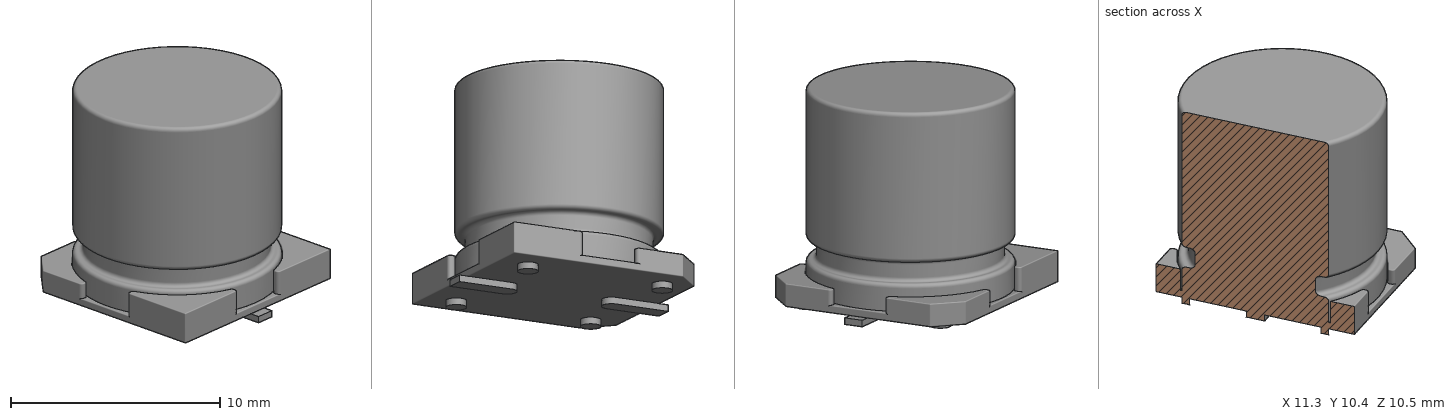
import cadquery as cq

terminal_span = 11.3
base_side = 10.4
total_height = 10.5

can_diameter = 10.0
neck_diameter = 9.0
can_round = 0.2
neck_bottom = 2.25
neck_top = 2.89

base_bottom = 0.33
slab_top = 0.7
low_lug_top = 1.46
high_lug_top = 1.88
corner_chamfer = 1.25
notch_half_width = 1.46
lug_pocket_radius = 5.05
lug_end_round = 0.17
edge_round = 0.05

terminal_width = 0.96
terminal_inner_reach = 2.35
foot_diameter = 1.0
foot_offset = 3.64

half_side = base_side / 2
can_radius = can_diameter / 2
neck_radius = neck_diameter / 2


def make_can():
    """Turned can with a rounded rim and a rolled neck, revolved about Z."""
    shoulder_radius = can_radius - can_round
    throat_radius = neck_radius + can_round
    lower_shoulder = neck_bottom - can_round
    upper_shoulder = neck_top + can_round
    profile = (
        cq.Workplane("XZ")
        .moveTo(0, slab_top)
        .lineTo(can_radius, slab_top)
        .lineTo(can_radius, lower_shoulder - can_round)
        .radiusArc((shoulder_radius, lower_shoulder), -can_round)
        .lineTo(throat_radius, lower_shoulder)
        .radiusArc((neck_radius, neck_bottom), can_round)
        .lineTo(neck_radius, neck_top)
        .radiusArc((throat_radius, upper_shoulder), can_round)
        .lineTo(shoulder_radius, upper_shoulder)
        .radiusArc((can_radius, upper_shoulder + can_round), -can_round)
        .lineTo(can_radius, total_height - can_round)
        .radiusArc((shoulder_radius, total_height), -can_round)
        .lineTo(0, total_height)
        .close()
    )
    return profile.revolve(360, (0, 0), (0, 1))


def make_slab():
    """Square plate with the two -X corners cut off."""
    height = slab_top - base_bottom
    slab = cq.Workplane("XY", origin=(0, 0, base_bottom)).rect(base_side, base_side).extrude(height)
    return slab.edges("|Z and <X").chamfer(corner_chamfer)


def make_lug(top, chamfered):
    """Corner lug in the +X +Y quadrant, hollowed to clear the can and rounded at both ends."""
    height = top - base_bottom
    side = half_side - notch_half_width
    lug = (
        cq.Workplane("XY", origin=(notch_half_width, notch_half_width, base_bottom))
        .rect(side, side, centered=False)
        .extrude(height)
    )
    if chamfered:
        lug = lug.edges("|Z and >X and >Y").chamfer(corner_chamfer)
    pocket = cq.Workplane("XY", origin=(0, 0, base_bottom)).circle(lug_pocket_radius).extrude(height)
    lug = lug.cut(pocket)
    return lug.edges("|Z and (<X or <Y)").fillet(lug_end_round)


def make_base():
    """Slab and lugs joined, with every outer edge slightly rounded."""
    high_lug = make_lug(high_lug_top, chamfered=False)
    low_lug = make_lug(low_lug_top, chamfered=True).mirror("YZ")
    base = make_slab()
    for lug in (high_lug, low_lug):
        base = base.union(lug).union(lug.mirror("XZ"))
    side_edges = base.faces("<X or >X or <Y or >Y").edges()
    horizontal_edges = base.faces("<Z or >Z or >Z[-2]").edges()
    return base.newObject(side_edges.vals() + horizontal_edges.vals()).fillet(edge_round)


def make_terminal():
    """Flat lead along +X whose inner end is a half circle."""
    end_centre = terminal_inner_reach + terminal_width / 2
    strip_length = terminal_span / 2 - end_centre
    strip = cq.Workplane("XY").center(end_centre + strip_length / 2, 0).rect(strip_length, terminal_width)
    round_end = cq.Workplane("XY").center(end_centre, 0).circle(terminal_width / 2)
    return strip.extrude(base_bottom).union(round_end.extrude(base_bottom))


def make_feet():
    """Four round standoffs under the corners of the base."""
    spacing = 2 * foot_offset
    return cq.Workplane("XY").rarray(spacing, spacing, 2, 2).circle(foot_diameter / 2).extrude(base_bottom)


terminal = make_terminal()
result = make_base().union(make_can()).union(make_feet())
result = result.union(terminal).union(terminal.mirror("YZ"))